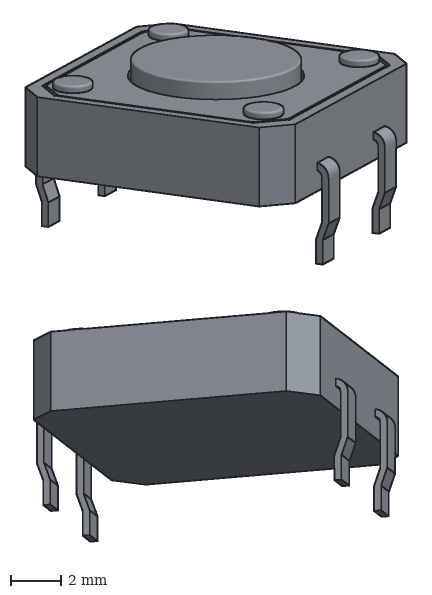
import cadquery as cq
import math

total_height = 6.98
housing_bottom = 3.0
housing_top = 6.26

housing_width = 12.0
corner_chamfer = 1.07

button_diameter = 6.8
button_opening_diameter = 7.0
button_edge_radius = 0.09

recess_width = 11.0
recess_depth = 0.5
cover_gap = (button_opening_diameter - button_diameter) / 2
recess_floor = housing_top - recess_depth
cover_width = recess_width - 2 * cover_gap

rivet_diameter = 1.6
rivet_height = 0.33
rivet_edge_radius = 0.1
rivet_offset = 4.25

lead_span = 13.02
lead_width = 1.0
lead_pitch = 5.0
lead_top = 4.18
lead_thickness = 0.3
bend_outer_radius = 0.57
bend_inner_radius = bend_outer_radius - lead_thickness
jog_top = 1.73
jog_bottom = 1.02
jog_shift = 0.26


def chamfered_plate(width, bottom, height):
    """Square plate with its four vertical corners cut at 45 degrees."""
    return (
        cq.Workplane("XY", origin=(0, 0, bottom))
        .rect(width, width)
        .extrude(height)
        .edges("|Z")
        .chamfer(corner_chamfer)
    )


def make_lead(side, y_center):
    """One lead: out of the housing wall, round a bend, down, and back in to the tip.

    The bend starts just inside the wall, so the lead and the housing join as one solid.
    """
    outer = lead_span / 2
    inner = outer - lead_thickness
    bend_x = outer - bend_outer_radius
    bend_z = lead_top - bend_outer_radius
    tip_outer = outer - jog_shift
    tip_inner = tip_outer - lead_thickness
    diagonal = math.sqrt(0.5)

    profile = (
        cq.Workplane("XZ", origin=(0, y_center + lead_width / 2, 0))
        .moveTo(bend_x, lead_top)
        .threePointArc(
            (bend_x + bend_outer_radius * diagonal, bend_z + bend_outer_radius * diagonal),
            (outer, bend_z),
        )
        .lineTo(outer, jog_top)
        .lineTo(tip_outer, jog_bottom)
        .lineTo(tip_outer, 0)
        .lineTo(tip_inner, 0)
        .lineTo(tip_inner, jog_bottom)
        .lineTo(inner, jog_top)
        .lineTo(inner, bend_z)
        .threePointArc(
            (bend_x + bend_inner_radius * diagonal, bend_z + bend_inner_radius * diagonal),
            (bend_x, bend_z + bend_inner_radius),
        )
        .close()
    )
    lead = profile.extrude(lead_width)
    return lead if side > 0 else lead.mirror("YZ")


def make_housing():
    """Block with the cover recess and the four leads fixed in its side walls."""
    housing = chamfered_plate(housing_width, housing_bottom, housing_top - housing_bottom)
    housing = housing.cut(chamfered_plate(recess_width, recess_floor, recess_depth))
    for side in (-1, 1):
        for y_center in (-lead_pitch / 2, lead_pitch / 2):
            housing = housing.union(make_lead(side, y_center))
    return housing


def make_rivet_head(x, y):
    """Disc with rounded edges above and below."""
    return (
        cq.Workplane("XY", origin=(x, y, housing_top))
        .circle(rivet_diameter / 2)
        .extrude(rivet_height)
        .edges()
        .fillet(rivet_edge_radius)
    )


def make_cover():
    """Plate flush with the housing top, with the button opening and the rivet heads."""
    cover = chamfered_plate(cover_width, recess_floor, recess_depth)
    opening = (
        cq.Workplane("XY", origin=(0, 0, recess_floor))
        .circle(button_opening_diameter / 2)
        .extrude(recess_depth)
    )
    cover = cover.cut(opening)
    for x in (-rivet_offset, rivet_offset):
        for y in (-rivet_offset, rivet_offset):
            cover = cover.union(make_rivet_head(x, y))
    return cover


def make_button():
    """Disc standing on the recess floor, with a rounded top edge."""
    return (
        cq.Workplane("XY", origin=(0, 0, recess_floor))
        .circle(button_diameter / 2)
        .extrude(total_height - recess_floor)
        .faces(">Z")
        .edges()
        .fillet(button_edge_radius)
    )


housing = make_housing()
cover = make_cover()
button = make_button()

result = cq.Compound.makeCompound([housing.val(), cover.val(), button.val()])